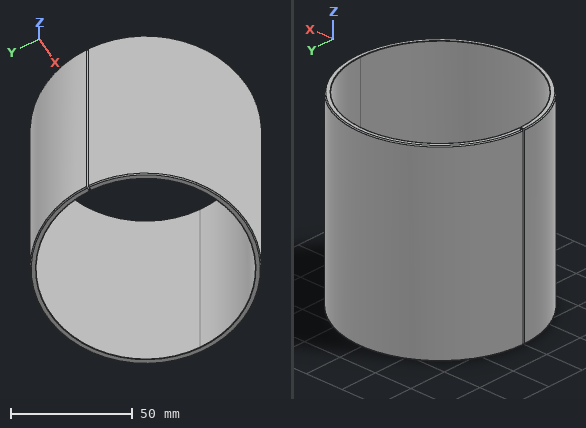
import cadquery as cq

length = 100.0
outer_diameter = 95.0
wall = 2.5
outer_chamfer = 0.5
inner_chamfer = 0.2
slit_width = 0.8

outer_radius = outer_diameter / 2
inner_radius = outer_radius - wall


def make_sleeve():
    """Revolve the chamfered wall section about Z, centred on the origin."""
    half = length / 2
    section = [
        (inner_radius, -half + inner_chamfer),
        (inner_radius + inner_chamfer, -half),
        (outer_radius - outer_chamfer, -half),
        (outer_radius, -half + outer_chamfer),
        (outer_radius, half - outer_chamfer),
        (outer_radius - outer_chamfer, half),
        (inner_radius + inner_chamfer, half),
        (inner_radius, half - inner_chamfer),
    ]
    return cq.Workplane("XZ").polyline(section).close().revolve(360, (0, 0, 0), (0, 1, 0))


def make_slit():
    """Full-length cutter through the -X wall, with one face on the Y = 0 plane."""
    cutter = cq.Workplane("XY").box(4 * wall, slit_width, length)
    return cutter.translate((-outer_radius, slit_width / 2, 0))


result = make_sleeve().cut(make_slit())